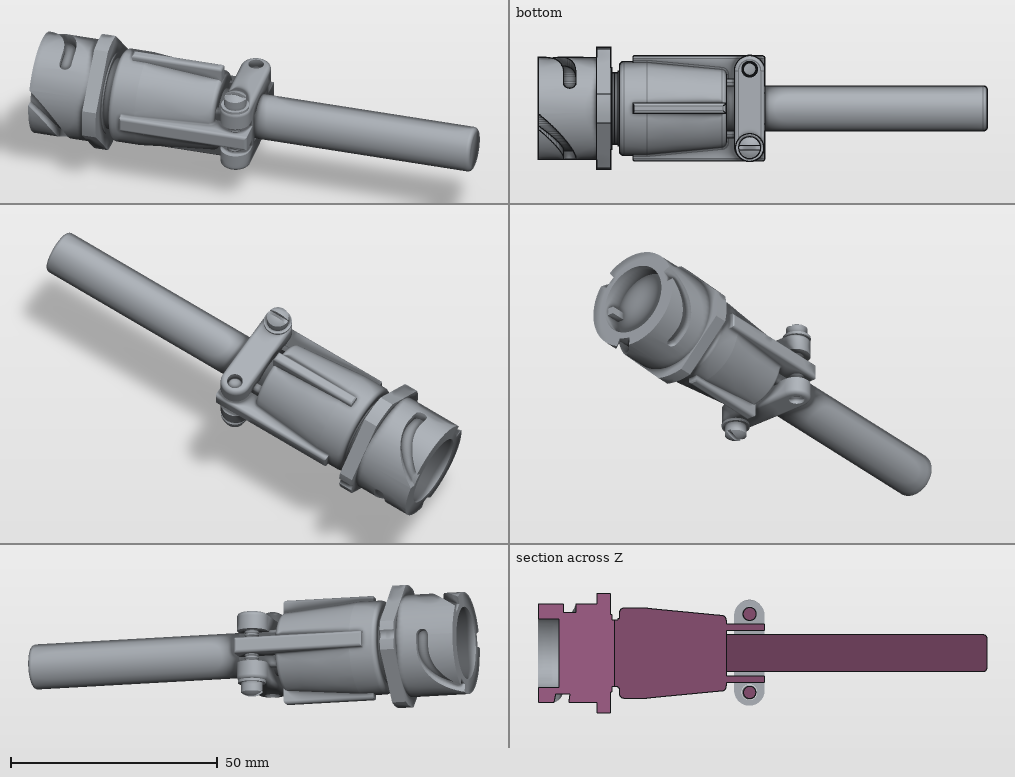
import cadquery as cq
import math


barrel_radius = 12.4
flange_front = 14.15
flange_back = 17.6
flange_corner_radius = 14.855
flange_across_flats = 25.4
flange_notch_radius = 1.55
flange_notch_depth = 0.7
collar_radius = 9.9
collar_length = 0.3
neck_radius = 8.7
neck_end = 18.5
bore_radius = 8.8
bore_depth = 5.0
key_width = 1.85
key_height = 1.8
key_setback = 0.9

groove_count = 3
groove_start_angle = 45.0
groove_ramp_angle = 60.0
groove_dwell_angle = 15.0
groove_lead_angle = 12.0
groove_step_angle = 3.0
groove_reach = 7.65
groove_width = 2.95
groove_floor_radius = 10.35
groove_overcut = 1.0

lip_front = 19.3
lip_radius = 9.05
shell_front = 19.65
shell_back = 45.6
shell_radius = 11.4
shell_front_fillet = 1.1
taper_start = 26.3
shell_back_radius = 9.6
shell_back_fillet = 1.2

rib_front = 22.95
rib_radius = 12.77
rib_crest_fillet = 0.7
rib_front_chamfer = 0.3
top_rib_width = 2.5
top_rib_setback = 0.1
side_plate_thickness = 3.8
side_plate_root_fillet = 0.5

cable_radius = 5.47
cable_end = 108.75
cable_end_fillet = 1.0
clamp_width = 7.4
clamp_back = 54.9
clamp_length = 2 * rib_radius
clamp_bottom = 3.95
clamp_top = 8.35
clamp_edge_fillet = 1.0
cheek_thickness = 1.7
cheek_half_height = 4.55
cheek_fillet = 0.85
clamp_x = clamp_back - clamp_width / 2

screw_offset = 9.5
screw_radius = 1.8
thread_depth = 0.3
thread_pitch = 0.7
screw_hole_radius = 1.9
screw_tip = 6.6
washer_radius = 3.4
washer_thickness = 0.65
head_radius = 2.65
head_side_height = 2.3
head_dome_height = 0.95
slot_width = 1.15
slot_depth = 1.25


def x_cylinder(radius, start, end):
    return cq.Workplane("YZ", origin=(start, 0, 0)).circle(radius).extrude(end - start)


def z_cylinder(radius, x, y, bottom, top):
    return cq.Workplane("XY", origin=(x, y, bottom)).circle(radius).extrude(top - bottom)


def groove_section(angle):
    """Axial-radial rectangle of a groove at an angle past its mouth."""
    ramp_left = max(0.0, 1 - angle / groove_ramp_angle)
    center_x = groove_reach * (1 - ramp_left**2)
    slope = 2 * groove_reach * ramp_left / (math.radians(groove_ramp_angle) * barrel_radius)
    half_width = groove_width / 2 * math.hypot(1, slope)
    outer_radius = barrel_radius + groove_overcut
    turn = math.radians(groove_start_angle + angle)
    rectangle = (
        (center_x - half_width, groove_floor_radius),
        (center_x + half_width, groove_floor_radius),
        (center_x + half_width, outer_radius),
        (center_x - half_width, outer_radius),
    )
    corners = [cq.Vector(x, r * math.cos(turn), r * math.sin(turn)) for x, r in rectangle]
    return cq.Wire.makePolygon(corners, close=True)


def make_groove():
    """Cutter for one bayonet groove."""
    end_angle = groove_ramp_angle + groove_dwell_angle
    steps = round((end_angle + groove_lead_angle) / groove_step_angle)
    sections = [groove_section(-groove_lead_angle + i * groove_step_angle) for i in range(steps + 1)]
    ramp = cq.Solid.makeLoft(sections, True)
    turn = math.radians(groove_start_angle + end_angle)
    outward = cq.Vector(0, math.cos(turn), math.sin(turn))
    foot = cq.Vector(groove_reach, 0, 0) + outward * groove_floor_radius
    cut_depth = barrel_radius + groove_overcut - groove_floor_radius
    round_end = cq.Solid.makeCylinder(groove_width / 2, cut_depth, foot, outward)
    return cq.Workplane(ramp).union(cq.Workplane(round_end))


def make_flange():
    """Square nut with corners turned round and a notch at the +Y corner."""
    thickness = flange_back - flange_front
    flange = x_cylinder(flange_corner_radius, flange_front, flange_back)
    square = (
        cq.Workplane("YZ", origin=(flange_front, 0, 0))
        .transformed(rotate=(0, 0, 45))
        .rect(flange_across_flats, flange_across_flats)
        .extrude(thickness)
    )
    notch_y = flange_corner_radius - flange_notch_depth + flange_notch_radius
    notch = x_cylinder(flange_notch_radius, flange_front, flange_back).translate((0, notch_y, 0))
    return flange.intersect(square).cut(notch)


def make_plug():
    plug = x_cylinder(barrel_radius, 0, flange_front).union(make_flange())
    plug = plug.union(x_cylinder(collar_radius, flange_back, flange_back + collar_length))
    plug = plug.union(x_cylinder(neck_radius, flange_back, neck_end))
    plug = plug.cut(x_cylinder(bore_radius, 0, bore_depth))
    groove = make_groove()
    for i in range(groove_count):
        plug = plug.cut(groove.rotate((0, 0, 0), (1, 0, 0), i * 360 / groove_count))
    key_outer = (bore_radius + groove_floor_radius) / 2
    key_inner = bore_radius - key_height
    key = (
        cq.Workplane("XY", origin=(key_setback, key_inner, 0))
        .box(bore_depth - key_setback, key_outer - key_inner, key_width, centered=(False, False, True))
    )
    return plug.union(key)


def make_shell():
    """Tapered sleeve, with the neck and lip that meet the plug."""
    sleeve = (
        cq.Workplane("XY")
        .moveTo(shell_front, 0)
        .lineTo(shell_front, shell_radius)
        .lineTo(taper_start, shell_radius)
        .lineTo(shell_back, shell_back_radius)
        .lineTo(shell_back, 0)
        .close()
        .revolve(360, (0, 0, 0), (1, 0, 0))
        .faces("<X")
        .edges()
        .fillet(shell_front_fillet)
        .faces(">X")
        .edges()
        .fillet(shell_back_fillet)
    )
    neck = x_cylinder(neck_radius, neck_end, shell_front)
    lip = x_cylinder(lip_radius, lip_front, shell_front)
    return sleeve.union(neck).union(lip)


def make_rib(inner_radius, back, width):
    """A rib with rounded crest standing on +Z."""
    return (
        cq.Workplane("XY")
        .box(back - rib_front, width, rib_radius - inner_radius, centered=(False, True, False))
        .translate((rib_front, 0, inner_radius))
        .edges(">Z and <X")
        .chamfer(rib_front_chamfer)
        .edges("(>Z and |X) or (>Z and >X)")
        .fillet(rib_crest_fillet)
    )


def fillet_side_plate_roots(body):
    """Blend the long sides of the side plates into the sleeve."""
    margin = 0.1
    roots = []
    for edge in body.edges().vals():
        middle = edge.Center()
        box = edge.BoundingBox()
        on_sleeve = shell_back_radius < math.hypot(middle.y, middle.z) < shell_radius
        on_plate_side = abs(abs(middle.z) - side_plate_thickness / 2) < margin
        beside_plate = rib_front - margin < box.xmin and box.xmax < shell_back - margin
        if on_sleeve and on_plate_side and beside_plate and box.xlen > margin:
            roots.append(edge)
    return body.newObject(roots).fillet(side_plate_root_fillet)


def make_cheek():
    """Wall beside the cable, on the -Y side."""
    return (
        cq.Workplane("XY")
        .box(clamp_back - shell_back, cheek_thickness, 2 * cheek_half_height, centered=(False, True, True))
        .edges("|X and <Y")
        .fillet(cheek_fillet)
        .translate((shell_back, -cable_radius - cheek_thickness / 2, 0))
    )


def make_screw():
    """Slotted dome-head screw with washer, standing on the clamp bar at the -Y end."""
    head_bottom = clamp_top + washer_thickness
    dome_bottom = head_bottom + head_side_height
    head_top = dome_bottom + head_dome_height
    dome_radius = (head_radius**2 + head_dome_height**2) / (2 * head_dome_height)
    dome_middle_z = head_top - dome_radius + math.sqrt(dome_radius**2 - (head_radius / 2) ** 2)
    profile = cq.Workplane("XZ").moveTo(0, -screw_tip).lineTo(screw_radius - thread_depth, -screw_tip)
    ridges = math.floor((clamp_bottom + screw_tip) / thread_pitch)
    for i in range(ridges):
        root_z = -screw_tip + i * thread_pitch
        profile = profile.lineTo(screw_radius, root_z + thread_pitch / 2)
        profile = profile.lineTo(screw_radius - thread_depth, root_z + thread_pitch)
    screw = (
        profile.lineTo(screw_radius - thread_depth, clamp_top)
        .lineTo(washer_radius, clamp_top)
        .lineTo(washer_radius, head_bottom)
        .lineTo(head_radius, head_bottom)
        .lineTo(head_radius, dome_bottom)
        .threePointArc((head_radius / 2, dome_middle_z), (0, head_top))
        .close()
        .revolve(360, (0, 0, 0), (0, 1, 0))
    )
    slot = (
        cq.Workplane("XY", origin=(0, 0, head_top))
        .box(2 * head_radius, slot_width, 2 * slot_depth)
    )
    return screw.cut(slot).translate((clamp_x, -screw_offset, 0))


def make_clamp_half():
    """Upper clamp bar with its screw, and the hole for the tip of the opposite screw."""
    bar = (
        cq.Workplane("XY", origin=(clamp_x, 0, clamp_bottom))
        .slot2D(clamp_length, clamp_width, 90)
        .extrude(clamp_top - clamp_bottom)
        .faces(">Z")
        .edges()
        .fillet(clamp_edge_fillet)
    )
    hole = z_cylinder(screw_hole_radius, clamp_x, screw_offset, clamp_bottom, clamp_top)
    return bar.cut(hole).union(make_screw())


def make_backshell():
    """Sleeve with its ribs, side plates, cheeks and screwed cable clamp."""
    axis_start = (0, 0, 0)
    axis_end = (1, 0, 0)
    half_turns = (0, 180)
    top_rib = make_rib(0, shell_back - top_rib_setback, top_rib_width)
    side_plate = make_rib(cable_radius, clamp_back, side_plate_thickness)
    clamp_half = make_clamp_half()
    cheek = make_cheek()
    backshell = make_shell()
    for turn in half_turns:
        backshell = backshell.union(side_plate.rotate(axis_start, axis_end, turn + 90))
    backshell = fillet_side_plate_roots(backshell)
    for part in (top_rib, cheek, clamp_half):
        for turn in half_turns:
            backshell = backshell.union(part.rotate(axis_start, axis_end, turn))
    return backshell.cut(x_cylinder(cable_radius, shell_back, clamp_back))


def make_cable():
    return x_cylinder(cable_radius, shell_back, cable_end).faces(">X").edges().fillet(cable_end_fillet)


plug = make_plug().solids()
backshell = make_backshell().solids()
cable = make_cable().solids()

result = cq.Compound.makeCompound([plug.val(), backshell.val(), cable.val()])